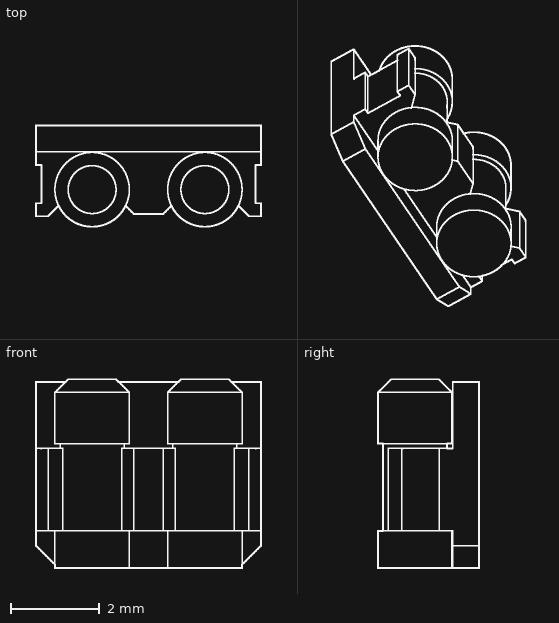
import cadquery as cq


width = 5.08
depth = 2.29
pin_height = 4.26

pin_spacing = 2.545
head_diameter = 1.68
shank_diameter = 1.45
tip_diameter = 1.08
tip_chamfer = (head_diameter - tip_diameter) / 2
collar_height = 0.84
head_bottom = 2.81
pin_positions = (-pin_spacing / 2, pin_spacing / 2)

plate_height = 4.2
plate_thickness = 0.6
corner_size = 0.505
back_y = depth - head_diameter / 2
plate_front_y = back_y - plate_thickness

block_top = 2.705
block_height = block_top - collar_height
lug_front_y = back_y - 2.05
center_front_y = back_y - 2.0
lug_width = 0.275
side_groove_depth = 0.12
side_groove_back_y = back_y - 0.9
side_groove_front_y = back_y - 1.755
notch_half_width = (width - pin_spacing) / 2 - lug_width
notch_apex_y = lug_front_y + notch_half_width


def box_between(x_range, y_range, z_range):
    """Axis-aligned box from its (low, high) limits on each axis."""
    return cq.Workplane("XY").box(
        x_range[1] - x_range[0],
        y_range[1] - y_range[0],
        z_range[1] - z_range[0],
        centered=False,
    ).translate((x_range[0], y_range[0], z_range[0]))


def make_plate():
    """Upright plate with its two lower corners cut off at 45 degrees."""
    half = width / 2
    return (
        cq.Workplane("XZ", origin=(0, back_y, 0))
        .moveTo(-half + corner_size, 0)
        .lineTo(half - corner_size, 0)
        .lineTo(half, corner_size)
        .lineTo(half, plate_height)
        .lineTo(-half, plate_height)
        .lineTo(-half, corner_size)
        .close()
        .extrude(plate_thickness)
    )


def make_block():
    """Block with a V notch for each pin and a groove down each side."""
    half = width / 2
    z_range = (collar_height, block_top)
    block = box_between((-half, half), (lug_front_y, plate_front_y), z_range)

    half_spacing = pin_spacing / 2
    block = block.cut(
        box_between((-half_spacing, half_spacing), (lug_front_y, center_front_y), z_range)
    )

    for x in pin_positions:
        notch = (
            cq.Workplane("XY", origin=(x, 0, collar_height))
            .moveTo(-notch_half_width, lug_front_y)
            .lineTo(notch_half_width, lug_front_y)
            .lineTo(0, notch_apex_y)
            .close()
            .extrude(block_height)
        )
        block = block.cut(notch)

    groove_y = (side_groove_front_y, side_groove_back_y)
    groove_inner = half - side_groove_depth
    for x_range in ((-half, -groove_inner), (groove_inner, half)):
        block = block.cut(box_between(x_range, groove_y, z_range))
    return block


def make_pin(x):
    """Pin with a bottom collar, a narrower shank and a chamfered head."""
    base = cq.Workplane("XY", origin=(x, 0, 0))
    collar = base.circle(head_diameter / 2).extrude(collar_height)
    shank = base.circle(shank_diameter / 2).extrude(head_bottom)
    head = (
        base.workplane(offset=head_bottom)
        .circle(head_diameter / 2)
        .extrude(pin_height - head_bottom)
        .faces(">Z")
        .chamfer(tip_chamfer)
    )
    return collar.union(shank).union(head)


result = make_plate().union(make_block())
for pin_x in pin_positions:
    result = result.union(make_pin(pin_x))